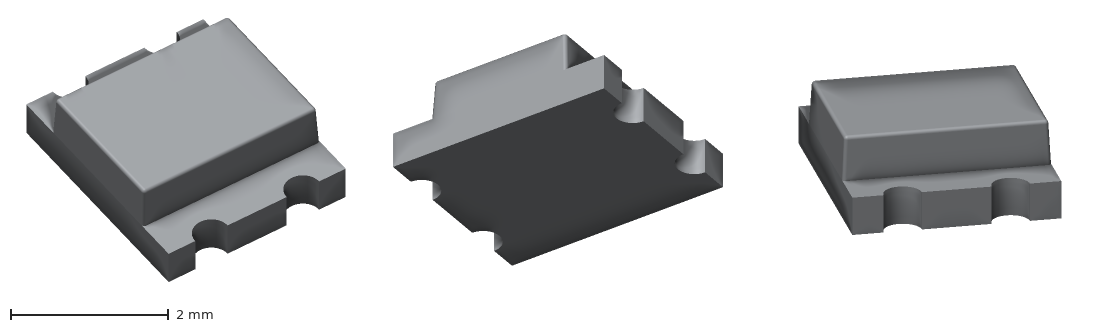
import cadquery as cq

BOARD_LENGTH = 3.22
BOARD_WIDTH = 2.71
BOARD_THICKNESS = 0.51

NOTCH_RADIUS = 0.248
NOTCH_PITCH = 1.4

TOTAL_HEIGHT = 1.1
LENS_LENGTH = 2.067
LENS_WIDTH = BOARD_WIDTH
LENS_DRAFT_ANGLE = 3.0
LENS_EDGE_RADIUS = 0.048
LENS_HEIGHT = TOTAL_HEIGHT - BOARD_THICKNESS


def make_board():
    board = cq.Workplane("XY").box(
        BOARD_LENGTH, BOARD_WIDTH, BOARD_THICKNESS, centered=(True, True, False)
    )
    notches = (
        cq.Workplane("XY")
        .rarray(BOARD_LENGTH, NOTCH_PITCH, 2, 2)
        .circle(NOTCH_RADIUS)
        .extrude(BOARD_THICKNESS)
    )
    return board.cut(notches)


def make_lens():
    lens = (
        cq.Workplane("XY", origin=(0, 0, BOARD_THICKNESS))
        .rect(LENS_LENGTH, LENS_WIDTH)
        .extrude(LENS_HEIGHT, taper=LENS_DRAFT_ANGLE)
    )
    return lens.edges("not <Z").fillet(LENS_EDGE_RADIUS)


result = make_board().union(make_lens())